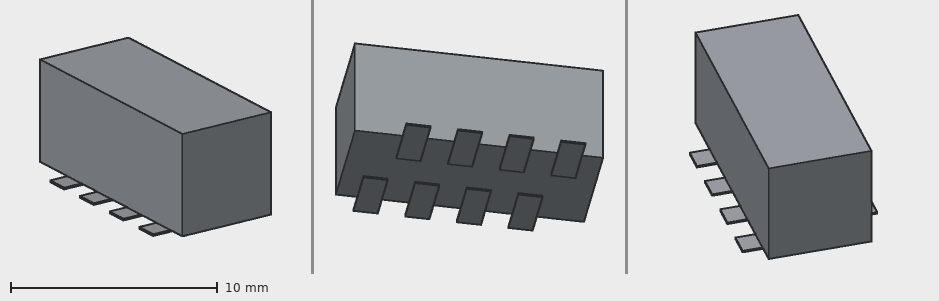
import cadquery as cq

housing_length = 12.2
housing_width = 5.2
total_height = 5.4
lead_thickness = 0.1
housing_height = total_height - lead_thickness

leads_per_row = 4
lead_pitch = 2.54
lead_width = 1.2
lead_length = 2.71
lead_overhang = 1.0
row_shift = 0.65
row_y = housing_width / 2 + lead_overhang - lead_length / 2


def make_housing():
    """Block with its underside resting on top of the leads."""
    return (
        cq.Workplane("XY")
        .workplane(offset=lead_thickness)
        .rect(housing_length, housing_width)
        .extrude(housing_height)
    )


def make_lead(x, y):
    """Flat strip centred at (x, y), lying on the base plane."""
    return cq.Workplane("XY").center(x, y).rect(lead_width, lead_length).extrude(lead_thickness)


housing = make_housing()

leads = []
for side in (-1, 1):
    for index in range(leads_per_row):
        row_offset = (index - (leads_per_row - 1) / 2) * lead_pitch
        lead = make_lead(row_offset - side * row_shift, side * row_y)
        leads.append(lead.val())

result = cq.Compound.makeCompound([housing.val(), *leads])